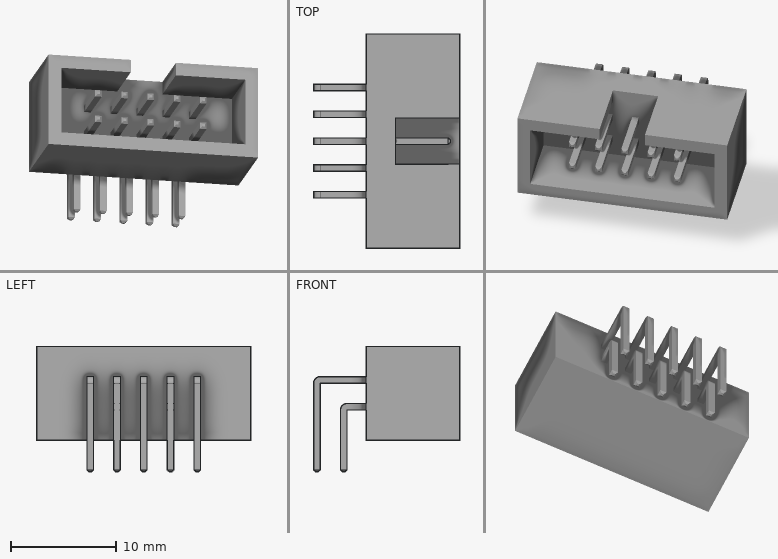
import cadquery as cq


body_depth = 8.9
body_length = 20.32
body_height = 8.9
wall = 1.24
cavity_depth = 6.1
key_slot_width = 4.38

pitch = 2.54
columns = 5
pin_size = 0.64
tip_chamfer = 0.2
rear_reach = 4.98
leg_drop = 3.0
front_setback = 0.92

tip_flat = pin_size - 2 * tip_chamfer
cavity_floor_x = body_depth - cavity_depth
leg_end_z = -body_height / 2 - leg_drop
pin_front_x = body_depth - front_setback
upper_leg_x = -rear_reach + pin_size / 2
rows = [
    (upper_leg_x, pitch / 2),
    (upper_leg_x + pitch, -pitch / 2),
]


def box(x_start, x_end, width, z_bottom, z_top):
    """Box symmetric about Y = 0."""
    size_x = x_end - x_start
    return (
        cq.Workplane("XY")
        .box(size_x, width, z_top - z_bottom, centered=(False, True, False))
        .translate((x_start, 0, z_bottom))
    )


def make_shroud():
    half_height = body_height / 2
    shroud = box(0, body_depth, body_length, -half_height, half_height)
    cavity = box(
        cavity_floor_x, body_depth, body_length - 2 * wall, -half_height + wall, half_height - wall
    )
    key_slot = box(cavity_floor_x, body_depth, key_slot_width, 0, half_height)
    return shroud.cut(cavity).cut(key_slot)


def make_tip(base_center, direction):
    """Square pin end, tapering from the full section to a small flat."""
    plane = cq.Plane(origin=base_center, xDir=(0, 1, 0), normal=direction)
    return (
        cq.Workplane(plane)
        .rect(pin_size, pin_size)
        .workplane(offset=tip_chamfer)
        .rect(tip_flat, tip_flat)
        .loft(ruled=True, combine=True)
    )


def make_pin(leg_x, pin_z):
    """Bent pin at Y = 0: sharp inner corner, outer corner rounded about it."""
    half = pin_size / 2
    shank_front_x = pin_front_x - tip_chamfer
    leg_bottom_z = leg_end_z + tip_chamfer
    shank = (
        cq.Workplane("XZ", origin=(0, half, 0))
        .moveTo(leg_x - half, leg_bottom_z)
        .lineTo(leg_x + half, leg_bottom_z)
        .lineTo(leg_x + half, pin_z - half)
        .lineTo(shank_front_x, pin_z - half)
        .lineTo(shank_front_x, pin_z + half)
        .lineTo(leg_x + half, pin_z + half)
        .radiusArc((leg_x - half, pin_z - half), -pin_size)
        .close()
        .extrude(pin_size)
    )
    leg_tip = make_tip((leg_x, 0, leg_bottom_z), (0, 0, -1))
    front_tip = make_tip((shank_front_x, 0, pin_z), (1, 0, 0))
    return shank.union(leg_tip).union(front_tip)


result = make_shroud()
for leg_x, pin_z in rows:
    pin = make_pin(leg_x, pin_z)
    for column in range(columns):
        pin_y = (column - (columns - 1) / 2) * pitch
        result = result.union(pin.translate((0, pin_y, 0)))